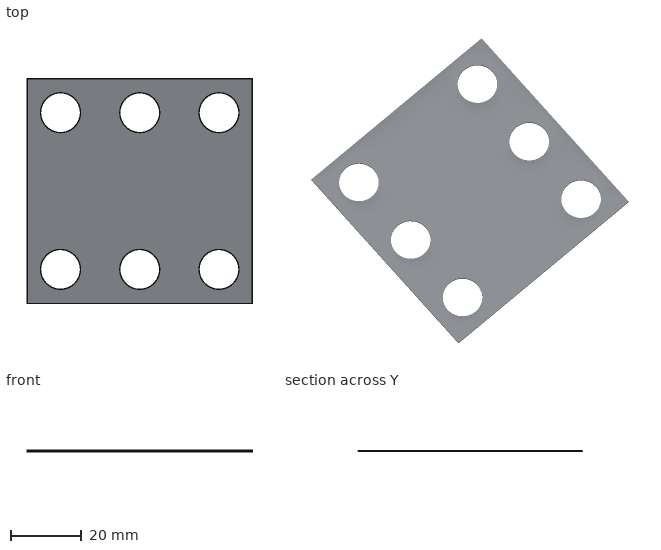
import cadquery as cq

side = 63.5
thickness = 0.5

hole_diameter = 11.2
holes_per_row = 3
row_count = 2
hole_pitch = 22.35
row_spacing = 44.2

sheet = cq.Workplane("XY").box(side, side, thickness)

result = (
    sheet.faces(">Z")
    .workplane()
    .rarray(hole_pitch, row_spacing, holes_per_row, row_count)
    .hole(hole_diameter)
)